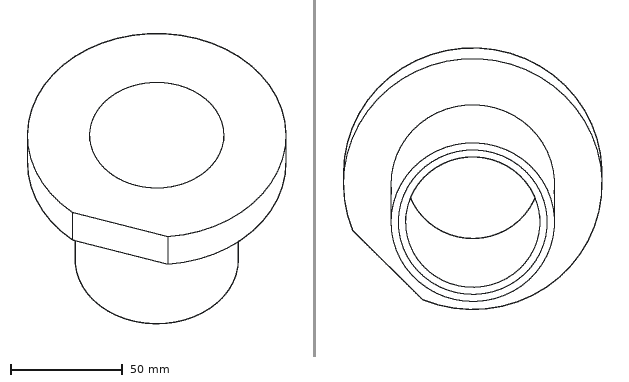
import cadquery as cq
import math

flange_diameter = 115.5
flange_thickness = 20.0
total_height = 90.0
sleeve_diameter = 73.0
bore_diameter = 60.0
flat_distance = 53.2
flat_direction = -59.0

sleeve_length = total_height - flange_thickness
liner_diameter = (sleeve_diameter + bore_diameter) / 2


def make_tube(outer_diameter, inner_diameter, bottom, height):
    """Upright tube on the Z axis."""
    return (
        cq.Workplane("XY", origin=(0, 0, bottom))
        .circle(outer_diameter / 2)
        .circle(inner_diameter / 2)
        .extrude(height)
    )


def make_flat_cutter():
    """Block whose inner face is the flat, wide enough to clear the rim."""
    angle = math.radians(flat_direction)
    flat_center = (flat_distance * math.cos(angle), flat_distance * math.sin(angle), sleeve_length)
    return (
        cq.Workplane("XY", origin=flat_center)
        .transformed(rotate=(0, 0, flat_direction))
        .box(flange_diameter, flange_diameter, flange_thickness, centered=(False, True, False))
    )


def make_flanged_liner():
    """Thin bored tube with a flange on its top end, and one flat on the flange rim."""
    liner = make_tube(liner_diameter, bore_diameter, 0, total_height)
    flange = make_tube(flange_diameter, bore_diameter, sleeve_length, flange_thickness)
    return liner.union(flange).cut(make_flat_cutter())


def make_sleeve():
    """Outer tube fitted around the liner, up to the underside of the flange."""
    return make_tube(sleeve_diameter, liner_diameter, 0, sleeve_length)


flanged_liner = make_flanged_liner()
sleeve = make_sleeve()

result = cq.Compound.makeCompound([flanged_liner.val(), sleeve.val()])